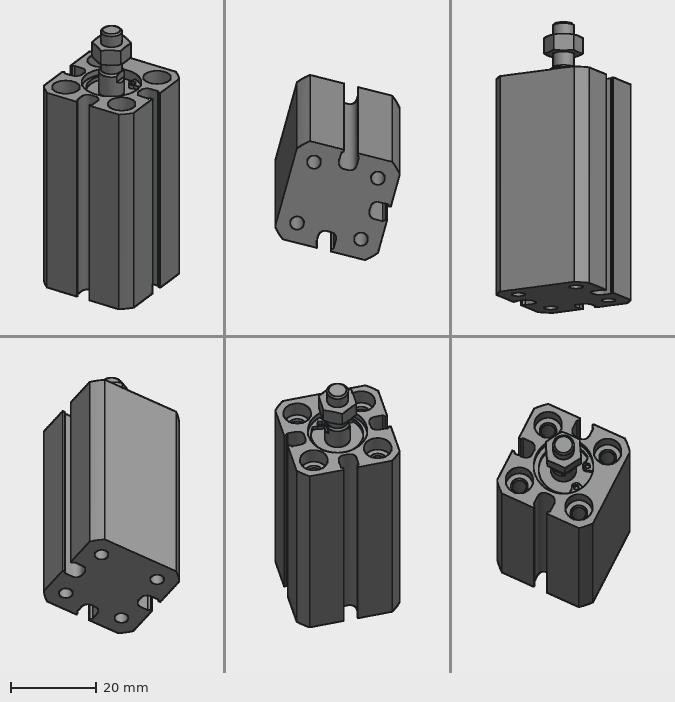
import cadquery as cq
import math

WIDTH = 25.0
HEIGHT = 52.0
CORNER_DIAMETER = 32.0

SLOT_DEPTH = 4.6
SLOT_OPENING = 3.4
SLOT_WIDTH = 4.3
SLOT_LIP = 0.5
SLOT_ROUND = 1.62
SLOT_ANGLES = (-90, 0, 180)

HOLE_PITCH = 15.5
COUNTERBORE_DIAMETER = 6.5
COUNTERBORE_DEPTH = 4.0
COUNTERSINK_DIAMETER = 4.0
HOLE_DIAMETER = 3.24

RECESS_DIAMETER = 14.0
RECESS_DEPTH = 2.5
RING_THICKNESS = 1.0
RING_INNER_DIAMETER = 12.3
RING_INNER_OFFSET = 0.36
RING_END_Y = 3.97
EAR_X = 3.0
EAR_Y = 4.8
EAR_DIAMETER = 2.2
EAR_HOLE_DIAMETER = 1.2
GAP_WALL_X = 2.5

TOTAL_HEIGHT = 66.0
ROD_DIAMETER = 6.0
ROD_TOP = HEIGHT + 3.5
THREAD_DIAMETER = 5.0
THREAD_TIP_DIAMETER = 4.13
FLATS_WIDTH = 5.0
FLATS_BOTTOM = HEIGHT + 1.5

NUT_BOTTOM = HEIGHT + 6.7
NUT_THICKNESS = 4.0
NUT_ACROSS_FLATS = 8.0
NUT_FACE_DIAMETER = 7.95
NUT_CHAMFER_ANGLE = 15.0


def cylinder(diameter, bottom, height):
    return cq.Workplane("XY").workplane(offset=bottom).circle(diameter / 2).extrude(height)


def make_slot():
    """Full-height slot cutter facing +X."""
    mouth = WIDTH / 2
    floor = mouth - SLOT_DEPTH
    half_opening = SLOT_OPENING / 2
    half_width = SLOT_WIDTH / 2
    lip_end = mouth - SLOT_LIP
    lip_back = lip_end - (half_width - half_opening)
    return (
        cq.Workplane("XY")
        .moveTo(mouth, -half_opening)
        .lineTo(lip_end, -half_opening)
        .lineTo(lip_back, -half_width)
        .lineTo(floor + SLOT_ROUND, -half_width)
        .radiusArc((floor, -half_width + SLOT_ROUND), SLOT_ROUND)
        .lineTo(floor, half_width - SLOT_ROUND)
        .radiusArc((floor + SLOT_ROUND, half_width), SLOT_ROUND)
        .lineTo(lip_back, half_width)
        .lineTo(lip_end, half_opening)
        .lineTo(mouth, half_opening)
        .close()
        .extrude(HEIGHT)
    )


def make_mounting_hole():
    """Stepped through hole on the Z axis: counterbore, countersink and bore."""
    seat = HEIGHT - COUNTERBORE_DEPTH
    bore_radius = HOLE_DIAMETER / 2
    sink_radius = COUNTERSINK_DIAMETER / 2
    sink_bottom = seat - (sink_radius - bore_radius)
    head_radius = COUNTERBORE_DIAMETER / 2
    return (
        cq.Workplane("XZ")
        .polyline([
            (0, 0),
            (bore_radius, 0),
            (bore_radius, sink_bottom),
            (sink_radius, seat),
            (head_radius, seat),
            (head_radius, HEIGHT),
            (0, HEIGHT),
        ])
        .close()
        .revolve(360, (0, 0, 0), (0, 1, 0))
    )


def make_ring():
    """Retaining ring with two drilled ears, lying on the recess floor."""
    bottom = HEIGHT - RECESS_DEPTH
    inner_radius = RING_INNER_DIAMETER / 2
    opening = (
        cq.Workplane("XY").workplane(offset=bottom)
        .center(0, RING_INNER_OFFSET).circle(inner_radius).extrude(RING_THICKNESS)
    )
    shoulder = (
        cq.Workplane("XY").workplane(offset=bottom)
        .center(0, RING_END_Y + RECESS_DIAMETER / 2).rect(2 * RECESS_DIAMETER, RECESS_DIAMETER)
        .extrude(RING_THICKNESS)
    )
    gap_side = EAR_X - EAR_DIAMETER / 2
    wall = RECESS_DIAMETER / 2
    gap = (
        cq.Workplane("XY").workplane(offset=bottom)
        .polyline([
            (-EAR_X, RING_END_Y),
            (-gap_side, EAR_Y),
            (-GAP_WALL_X, wall),
            (GAP_WALL_X, wall),
            (gap_side, EAR_Y),
            (EAR_X, RING_END_Y),
        ])
        .close()
        .extrude(RING_THICKNESS)
    )
    ears = [(-EAR_X, EAR_Y), (EAR_X, EAR_Y)]
    ear_plane = cq.Workplane("XY").workplane(offset=bottom).pushPoints(ears)
    ear_discs = ear_plane.circle(EAR_DIAMETER / 2).extrude(RING_THICKNESS)
    ear_holes = ear_plane.circle(EAR_HOLE_DIAMETER / 2).extrude(RING_THICKNESS)
    return (
        cylinder(RECESS_DIAMETER, bottom, RING_THICKNESS)
        .cut(opening.cut(shoulder))
        .cut(gap)
        .union(ear_discs)
        .cut(ear_holes)
    )


def make_housing():
    body = cq.Workplane("XY").rect(WIDTH, WIDTH).extrude(HEIGHT)
    body = body.intersect(cylinder(CORNER_DIAMETER, 0, HEIGHT))
    slot = make_slot()
    for angle in SLOT_ANGLES:
        body = body.cut(slot.rotate((0, 0, 0), (0, 0, 1), angle))
    hole = make_mounting_hole()
    for x_side in (-1, 1):
        for y_side in (-1, 1):
            place = (x_side * HOLE_PITCH / 2, y_side * HOLE_PITCH / 2, 0)
            body = body.cut(hole.translate(place))
    body = body.cut(cylinder(RECESS_DIAMETER, HEIGHT - RECESS_DEPTH, RECESS_DEPTH))
    return body.union(make_ring())


def make_rod():
    """Rod standing on the recess floor, with wrench flats and a threaded end."""
    rod_chamfer = (ROD_DIAMETER - THREAD_DIAMETER) / 2
    tip_chamfer = (THREAD_DIAMETER - THREAD_TIP_DIAMETER) / 2
    bottom = HEIGHT - RECESS_DEPTH
    rod = cylinder(ROD_DIAMETER, bottom, ROD_TOP - bottom).faces(">Z").chamfer(rod_chamfer)
    thread = cylinder(THREAD_DIAMETER, ROD_TOP, TOTAL_HEIGHT - ROD_TOP).faces(">Z").chamfer(tip_chamfer)
    flat = FLATS_WIDTH / 2
    outside = ROD_DIAMETER / 2
    flat_cutter = (
        cq.Workplane("XZ")
        .polyline([
            (flat, FLATS_BOTTOM),
            (outside, FLATS_BOTTOM - (outside - flat)),
            (outside, ROD_TOP),
            (flat, ROD_TOP),
        ])
        .close()
        .extrude(outside, both=True)
    )
    return rod.cut(flat_cutter).cut(flat_cutter.mirror("YZ")).union(thread)


def make_nut():
    """Hexagon nut with corners towards +Y and -Y, bevelled on both faces."""
    corner_radius = NUT_ACROSS_FLATS / math.sqrt(3)
    bevel_width = corner_radius - NUT_FACE_DIAMETER / 2
    bevel_height = bevel_width * math.tan(math.radians(NUT_CHAMFER_ANGLE))
    hexagon = (
        cq.Workplane("XY").workplane(offset=NUT_BOTTOM)
        .polygon(6, 2 * corner_radius).extrude(NUT_THICKNESS)
        .rotate((0, 0, 0), (0, 0, 1), 90)
    )
    top = NUT_BOTTOM + NUT_THICKNESS
    bevelled_disc = (
        cq.Workplane("XZ")
        .polyline([
            (0, NUT_BOTTOM),
            (corner_radius - bevel_width, NUT_BOTTOM),
            (corner_radius, NUT_BOTTOM + bevel_height),
            (corner_radius, top - bevel_height),
            (corner_radius - bevel_width, top),
            (0, top),
        ])
        .close()
        .revolve(360, (0, 0, 0), (0, 1, 0))
    )
    return hexagon.intersect(bevelled_disc).cut(cylinder(THREAD_DIAMETER, NUT_BOTTOM, NUT_THICKNESS))


housing = make_housing()
rod = make_rod()
nut = make_nut()

result = cq.Compound.makeCompound([housing.val(), rod.val(), nut.val()])